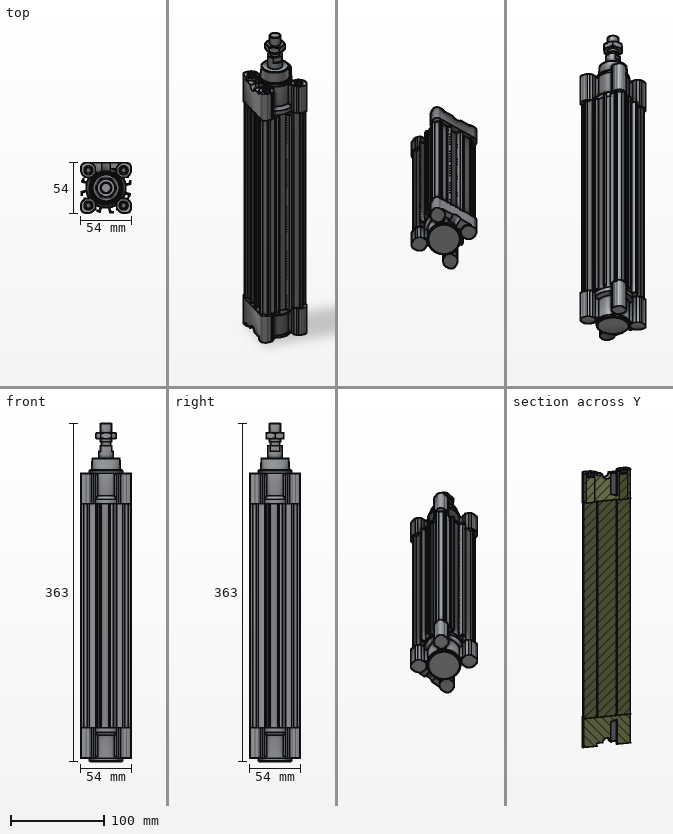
import cadquery as cq
import math


TOTAL_LENGTH = 363.0
BOSS_HEIGHT = 3.5
HEAD_HEIGHT = 32.5
TUBE_LENGTH = 240.3
COLLAR_HEIGHT = 12.7
NUT_BOTTOM = 346.3
NUT_HEIGHT = 6.5
THREAD_BOTTOM = 343.0
SHOULDER_TOP = 339.0

TUBE_BOTTOM = BOSS_HEIGHT + HEAD_HEIGHT
TUBE_TOP = TUBE_BOTTOM + TUBE_LENGTH

HEAD_WIDTH = 54.0
HALF_WIDTH = HEAD_WIDTH / 2
SCREW_OFFSET = 19.0
POST_INNER = 11.3
POST_BEVEL = 15.5
POST_FACETS = [(11.5, 22.0), (13.8, 25.0), (16.0, 26.5)]
POST_SIDE_START = 18.0
CORNER_RADIUS = 5.5
NECK_RADIUS = 17.5
BOSS_RADIUS = 17.8
FLANGE_RADIUS = 21.5
FLANGE_THICKNESS = 5.0
CONE_HEIGHT = 3.3
WEB_WIDTH = 9.0
WEB_HEIGHT = 31.0
BOSS_CHAMFER = 1.0
COLLAR_BASE_RADIUS = 15.5
COLLAR_TOP_RADIUS = 15.0
COLLAR_CHAMFER = 0.7
PORT_HALF_WIDTH = POST_SIDE_START
PORT_TOP = 29.5
PORT_GROOVE_RADIUS = 4.7
PORT_WALL = 6.5

TUBE_RADIUS = 21.5
BLOCK_INNER = 11.3
BLOCK_FACE = 23.5
RIB_INNER = 18.0
RIB_OUTER = 20.5
RIB_TIP = 27.0
BLOCK_CORNER_RADIUS = 5.0
LIP_THICKNESS = 1.0
LEFT_LIP = [(-5.5, -20.0), (-7.0, -25.5), (-9.0, -24.5)]
RIGHT_LIP = [(3.0, -20.0), (4.7, -26.0), (7.3, -26.0)]

THREAD_DIAMETER = 12.0
ROD_RADIUS = 8.0
THREAD_RADIUS = THREAD_DIAMETER / 2
THREAD_CHAMFER = 0.7
UNDERCUT_RADIUS = 5.0
WRENCH_WIDTH = 12.5
WRENCH_HEIGHT = 6.0
NUT_FLATS = 19.2
NUT_EDGE_DROP = 1.0
SCREW_RADIUS = 4.7
SCREW_RECESS = 1.5
SOCKET_FLATS = 5.8
SOCKET_DEPTH = 3.0

CORNERS = [(sx * SCREW_OFFSET, sy * SCREW_OFFSET) for sx in (-1, 1) for sy in (-1, 1)]


def cylinder(radius, bottom, height):
    return cq.Workplane("XY").workplane(offset=bottom).circle(radius).extrude(height)


def hexagon_prism(flats, bottom, height):
    corners = flats / math.cos(math.pi / 6)
    return cq.Workplane("XY").workplane(offset=bottom).polygon(6, corners).extrude(height)


def corner_posts():
    """Four posts with a rounded outer corner and facets towards the middle of each side."""
    side_points = [(POST_INNER, POST_BEVEL), *POST_FACETS, (POST_SIDE_START, HALF_WIDTH)]
    mirrored_points = [(y, x) for x, y in reversed(side_points)]
    outline = side_points + [(HALF_WIDTH, HALF_WIDTH)] + mirrored_points
    post = cq.Workplane("XY").polyline(outline).close().extrude(HEAD_HEIGHT)
    post = post.edges(cq.selectors.NearestToPointSelector((HALF_WIDTH, HALF_WIDTH, HEAD_HEIGHT / 2)))
    post = post.fillet(CORNER_RADIUS)
    posts = post
    for turn in (1, 2, 3):
        posts = posts.union(post.rotate((0, 0, 0), (0, 0, 1), 90 * turn))
    return posts


def head_core():
    """Flange, cone, neck and stepped end boss as one turned profile."""
    neck_start = FLANGE_THICKNESS + CONE_HEIGHT
    top = HEAD_HEIGHT + BOSS_HEIGHT
    return (
        cq.Workplane("XZ")
        .moveTo(0, 0)
        .lineTo(FLANGE_RADIUS, 0)
        .lineTo(FLANGE_RADIUS, FLANGE_THICKNESS)
        .lineTo(NECK_RADIUS, neck_start)
        .lineTo(NECK_RADIUS, HEAD_HEIGHT)
        .lineTo(BOSS_RADIUS, HEAD_HEIGHT)
        .lineTo(BOSS_RADIUS, top - BOSS_CHAMFER)
        .lineTo(BOSS_RADIUS - BOSS_CHAMFER, top)
        .lineTo(0, top)
        .close()
        .revolve(360, (0, 0, 0), (0, 1, 0))
    )


def diagonal_webs():
    """Two crossed walls that tie the posts to the neck."""
    span = 2 * math.hypot(SCREW_OFFSET, SCREW_OFFSET)
    wall = cq.Workplane("XY").rect(span, WEB_WIDTH).extrude(WEB_HEIGHT)
    webs = wall.rotate((0, 0, 0), (0, 0, 1), 45)
    return webs.union(wall.rotate((0, 0, 0), (0, 0, 1), -45))


def port_block():
    """Block on the +Y side, grooved along Y, with only an outer wall left on its +X half."""
    block_length = HALF_WIDTH - POST_BEVEL
    block = (
        cq.Workplane("XY")
        .center(0, POST_BEVEL + block_length / 2)
        .rect(2 * PORT_HALF_WIDTH, block_length)
        .extrude(PORT_TOP)
    )
    groove = (
        cq.Workplane("XZ")
        .center(0, PORT_TOP)
        .circle(PORT_GROOVE_RADIUS)
        .extrude(-HALF_WIDTH)
    )
    pocket_width = POST_INNER - PORT_GROOVE_RADIUS
    pocket_length = HALF_WIDTH - PORT_WALL
    pocket = (
        cq.Workplane("XY")
        .workplane(offset=FLANGE_THICKNESS)
        .center(PORT_GROOVE_RADIUS + pocket_width / 2, pocket_length / 2)
        .rect(pocket_width, pocket_length)
        .extrude(PORT_TOP)
    )
    return block.cut(groove).cut(pocket)


def head_blank():
    """A head standing on its tube joint at Z = 0."""
    return corner_posts().union(port_block()).union(diagonal_webs()).union(head_core())


def make_front_head():
    collar_bottom = HEAD_HEIGHT + BOSS_HEIGHT
    collar_top = collar_bottom + COLLAR_HEIGHT
    collar = (
        cq.Workplane("XZ")
        .moveTo(0, collar_bottom)
        .lineTo(COLLAR_BASE_RADIUS, collar_bottom)
        .lineTo(COLLAR_TOP_RADIUS, collar_top - COLLAR_CHAMFER)
        .lineTo(COLLAR_TOP_RADIUS - COLLAR_CHAMFER, collar_top)
        .lineTo(0, collar_top)
        .close()
        .revolve(360, (0, 0, 0), (0, 1, 0))
    )
    screw_holes = cq.Workplane("XY").pushPoints(CORNERS).circle(SCREW_RADIUS).extrude(HEAD_HEIGHT)
    rod_hole = cylinder(ROD_RADIUS, 0, collar_top)
    head = head_blank().union(collar).cut(screw_holes).cut(rod_hole)
    return head.translate((0, 0, TUBE_TOP))


def make_rear_head():
    return head_blank().mirror("XY").translate((0, 0, TUBE_BOTTOM))


def corner_block():
    """Tube block in the +X +Y corner: two ribs beside a rounded corner."""
    round_end = SCREW_OFFSET + math.sqrt(BLOCK_CORNER_RADIUS**2 - (RIB_OUTER - SCREW_OFFSET) ** 2)
    round_middle = SCREW_OFFSET + BLOCK_CORNER_RADIUS * math.sqrt(0.5)
    return (
        cq.Workplane("XY")
        .moveTo(BLOCK_INNER, BLOCK_INNER)
        .lineTo(BLOCK_INNER, BLOCK_FACE)
        .lineTo(RIB_INNER, BLOCK_FACE)
        .lineTo(RIB_INNER, RIB_TIP)
        .lineTo(RIB_OUTER, RIB_TIP)
        .lineTo(RIB_OUTER, round_end)
        .threePointArc((round_middle, round_middle), (round_end, RIB_OUTER))
        .lineTo(RIB_TIP, RIB_OUTER)
        .lineTo(RIB_TIP, RIB_INNER)
        .lineTo(BLOCK_FACE, RIB_INNER)
        .lineTo(BLOCK_FACE, BLOCK_INNER)
        .close()
        .extrude(TUBE_LENGTH)
    )


def slot_lip(centre_line):
    """Thin hooked lip on the -Y side along a centre line from root over bend to tip."""
    path = cq.Workplane("XY").polyline(centre_line)
    return path.offset2D(LIP_THICKNESS / 2, "intersection").extrude(TUBE_LENGTH)


def make_tube():
    """Barrel with the same corner block and pair of slot lips at every quarter turn."""
    left_lip = slot_lip(LEFT_LIP)
    right_lip = slot_lip(RIGHT_LIP)
    quarter = corner_block().union(left_lip).union(right_lip)
    tube = cylinder(TUBE_RADIUS, 0, TUBE_LENGTH)
    for turn in range(4):
        tube = tube.union(quarter.rotate((0, 0, 0), (0, 0, 1), 90 * turn))
    return tube.translate((0, 0, TUBE_BOTTOM))


def make_rod():
    """Piston rod with wrench flats, an undercut and a threaded end."""
    shank = cylinder(ROD_RADIUS, TUBE_TOP, SHOULDER_TOP - TUBE_TOP)
    wrench_zone = (
        cq.Workplane("XY")
        .workplane(offset=SHOULDER_TOP - WRENCH_HEIGHT)
        .rect(2 * ROD_RADIUS, 2 * ROD_RADIUS)
        .rect(WRENCH_WIDTH, 2 * ROD_RADIUS)
        .extrude(WRENCH_HEIGHT)
    )
    undercut = cylinder(UNDERCUT_RADIUS, SHOULDER_TOP, THREAD_BOTTOM - SHOULDER_TOP)
    thread = cylinder(THREAD_RADIUS, THREAD_BOTTOM, TOTAL_LENGTH - THREAD_BOTTOM)
    thread = thread.faces(">Z").chamfer(THREAD_CHAMFER)
    return shank.cut(wrench_zone).union(undercut).union(thread)


def make_nut():
    """Hexagon nut with its corners turned down on both ends."""
    nut_top = NUT_BOTTOM + NUT_HEIGHT
    corner_radius = NUT_FLATS / 2 / math.cos(math.pi / 6)
    blank = hexagon_prism(NUT_FLATS, NUT_BOTTOM, NUT_HEIGHT)
    envelope = (
        cq.Workplane("XZ")
        .moveTo(0, NUT_BOTTOM)
        .lineTo(NUT_FLATS / 2, NUT_BOTTOM)
        .lineTo(corner_radius, NUT_BOTTOM + NUT_EDGE_DROP)
        .lineTo(corner_radius, nut_top - NUT_EDGE_DROP)
        .lineTo(NUT_FLATS / 2, nut_top)
        .lineTo(0, nut_top)
        .close()
        .revolve(360, (0, 0, 0), (0, 1, 0))
    )
    return blank.intersect(envelope).cut(cylinder(THREAD_RADIUS, NUT_BOTTOM, NUT_HEIGHT))


def make_screw(x, y):
    """Recessed socket screw filling a post's hole down to the tube."""
    length = HEAD_HEIGHT - SCREW_RECESS
    body = cylinder(SCREW_RADIUS, TUBE_TOP, length)
    socket = hexagon_prism(SOCKET_FLATS, TUBE_TOP + length - SOCKET_DEPTH, SOCKET_DEPTH)
    return body.cut(socket).translate((x, y, 0))


front_head = make_front_head()
rear_head = make_rear_head()
tube = make_tube()
rod = make_rod()
nut = make_nut()
screws = [make_screw(x, y) for x, y in CORNERS]

result = cq.Compound.makeCompound(
    [front_head.val(), rear_head.val(), tube.val(), rod.val(), nut.val()] + [screw.val() for screw in screws]
)